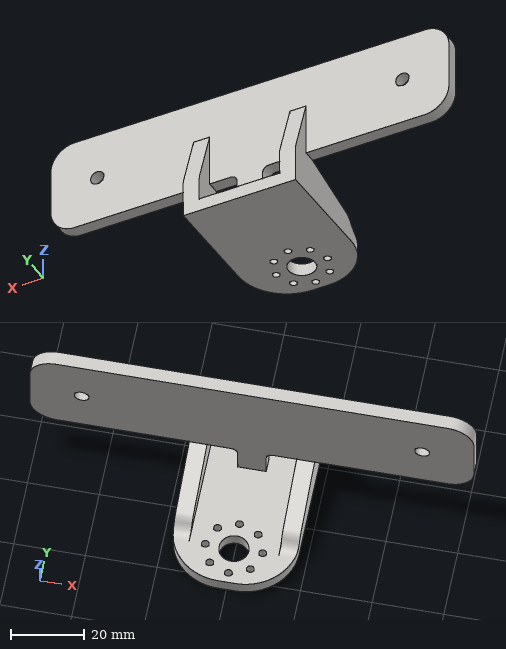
import cadquery as cq
import math


base_width = 35.0
base_thickness = 4.0
base_front_y = -11.0
base_back_y = 36.0
base_corner_radius = 15.0
centre_hole_diameter = 8.2
small_hole_diameter = 2.1
small_hole_count = 8
small_hole_circle_diameter = 16.0

plate_length = 124.0
plate_thickness = 4.0
plate_front_y = 26.0
plate_bottom_z = 13.0
plate_top_z = 42.0
plate_corner_radius = 7.5
plate_hole_diameter = 4.1
plate_hole_spacing = 95.0
plate_back_y = plate_front_y + plate_thickness
plate_height = plate_top_z - plate_bottom_z
plate_middle_z = (plate_top_z + plate_bottom_z) / 2

neck_width = 8.0
neck_fillet_radius = 2.0

rib_thickness = 5.0
rib_crown_y = 5.2
rib_crown_z = 7.5
rib_toe_y = 2.5
rib_tip_y = -0.5
rib_front_radius = 5.0
rib_back_corner_z = 11.5
rib_back_top_z = 29.0
rib_back_corner_radius = 5.0


def make_base_outline(height):
    """Base footprint with its two front corners rounded, raised to a height."""
    base_length = base_back_y - base_front_y
    return (
        cq.Workplane("XY")
        .box(base_width, base_length, height, centered=(True, False, False))
        .translate((0, base_front_y, 0))
        .edges("|Z and <Y")
        .fillet(base_corner_radius)
    )


def make_plate():
    """Rounded upright plate."""
    return (
        cq.Workplane("XY")
        .box(plate_length, plate_thickness, plate_height, centered=(True, False, False))
        .translate((0, plate_front_y, plate_bottom_z))
        .edges("|Y")
        .fillet(plate_corner_radius)
    )


def make_neck():
    """Post from the base up to the plate, flaring into the plate's lower edge."""
    half_width = neck_width / 2
    flare_half_width = half_width + neck_fillet_radius
    flare_start_z = plate_bottom_z - neck_fillet_radius
    arc_offset = neck_fillet_radius * (1 - math.sqrt(0.5))
    arc_x = half_width + arc_offset
    arc_z = plate_bottom_z - arc_offset
    return (
        cq.Workplane("XZ", origin=(0, plate_back_y, 0))
        .moveTo(-half_width, 0)
        .lineTo(half_width, 0)
        .lineTo(half_width, flare_start_z)
        .threePointArc((arc_x, arc_z), (flare_half_width, plate_bottom_z))
        .lineTo(-flare_half_width, plate_bottom_z)
        .threePointArc((-arc_x, arc_z), (-half_width, flare_start_z))
        .close()
        .extrude(plate_thickness)
    )


def make_rib(start_x):
    """Side rib: a gentle slope and a short steep toe in front, a sloped edge behind."""
    middle_x = start_x + rib_thickness / 2

    def corner_edge(y, z):
        """Selector for the edge across the rib at one corner of its profile."""
        return cq.selectors.NearestToPointSelector((middle_x, y, z))

    return (
        cq.Workplane("YZ", origin=(start_x, 0, 0))
        .moveTo(rib_tip_y, 0)
        .lineTo(base_back_y, 0)
        .lineTo(base_back_y, rib_back_corner_z)
        .lineTo(plate_back_y, rib_back_top_z)
        .lineTo(plate_front_y, rib_back_top_z)
        .lineTo(plate_front_y, plate_bottom_z)
        .lineTo(rib_crown_y, rib_crown_z)
        .lineTo(rib_toe_y, base_thickness)
        .lineTo(rib_tip_y, base_thickness)
        .close()
        .extrude(rib_thickness)
        .edges(corner_edge(rib_crown_y, rib_crown_z))
        .fillet(rib_front_radius)
        .edges(corner_edge(rib_toe_y, base_thickness))
        .fillet(rib_front_radius)
        .edges(corner_edge(base_back_y, rib_back_corner_z))
        .fillet(rib_back_corner_radius)
    )


def make_base_holes():
    """Cutters for the centre hole and the ring of small holes."""
    ring = (
        cq.Workplane("XY")
        .polarArray(small_hole_circle_diameter / 2, 0, 360, small_hole_count)
        .circle(small_hole_diameter / 2)
        .extrude(base_thickness)
    )
    return ring.union(cq.Workplane("XY").circle(centre_hole_diameter / 2).extrude(base_thickness))


def make_plate_holes():
    """Cutters for the two mounting holes in the plate."""
    half_spacing = plate_hole_spacing / 2
    return (
        cq.Workplane("XZ", origin=(0, plate_back_y, plate_middle_z))
        .pushPoints([(-half_spacing, 0), (half_spacing, 0)])
        .circle(plate_hole_diameter / 2)
        .extrude(plate_thickness)
    )


left_rib = make_rib(-base_width / 2)
right_rib = make_rib(base_width / 2 - rib_thickness)

ribs = left_rib.union(right_rib).intersect(make_base_outline(plate_top_z))

result = (
    make_base_outline(base_thickness)
    .union(ribs)
    .union(make_neck())
    .union(make_plate())
    .cut(make_base_holes())
    .cut(make_plate_holes())
)